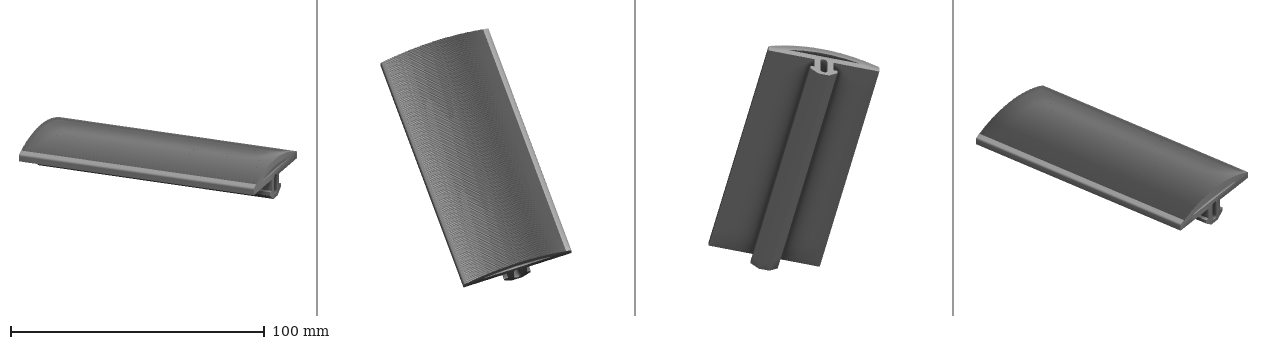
import cadquery as cq
import math

length = 100.0
width = 45.0
height = 16.3

plate_underside = 8.7
dome_edge_height = 11.5
edge_fillet = 1.0

hollow_floor = 11.4
hollow_crown = 13.5
hollow_width = 29.4
hollow_tip_fillet = 0.1

stem_width = 7.7
barb_width = 11.0
barb_top = 4.0
barb_taper_top = 2.5
foot_width = 4.2

slot_width = 2.8
slot_bottom = 1.5
slot_top = 9.6
slot_fillet = 1.2

groove_pitch = 0.3
groove_depth = 0.3
groove_count = 140
groove_shift = groove_pitch
cutter_overlap = 0.1

dome_rise = height - dome_edge_height
dome_radius = ((width / 2) ** 2 + dome_rise**2) / (2 * dome_rise)
dome_center_height = height - dome_radius


def section():
    """Sketch plane on the X = 0 end, with local axes along Y and Z."""
    return cq.Workplane("YZ")


def make_cap():
    """Flat-bottomed cap with an arched top and rounded upper edges."""
    half = width / 2
    cap = (
        section()
        .moveTo(-half, plate_underside)
        .lineTo(half, plate_underside)
        .lineTo(half, dome_edge_height)
        .threePointArc((0, height), (-half, dome_edge_height))
        .close()
        .extrude(length)
    )
    return cap.faces(">Z").edges("|X").fillet(edge_fillet)


def make_stem():
    """Stem with a barb on each side and a tapered foot."""
    right_side = [
        (foot_width / 2, 0),
        (barb_width / 2, barb_taper_top),
        (barb_width / 2, barb_top),
        (stem_width / 2, barb_top),
        (stem_width / 2, plate_underside),
    ]
    left_side = [(-y, z) for y, z in reversed(right_side)]
    return section().polyline(right_side + left_side).close().extrude(length)


def make_hollow():
    """Lens-shaped passage with a flat floor and slightly blunted tips."""
    half = hollow_width / 2
    hollow = (
        section()
        .moveTo(-half, hollow_floor)
        .lineTo(half, hollow_floor)
        .threePointArc((0, hollow_crown), (-half, hollow_floor))
        .close()
        .extrude(length)
    )
    return hollow.edges("|X").fillet(hollow_tip_fillet)


def make_slot():
    """Tall passage through the stem with rounded corners."""
    slot = (
        section()
        .center(0, (slot_bottom + slot_top) / 2)
        .rect(slot_width, slot_top - slot_bottom)
        .extrude(length)
    )
    return slot.edges("|X").fillet(slot_fillet)


def dome_point(arc_position, depth):
    """Point at a distance along the dome from its crown and a depth below its surface."""
    angle = arc_position / dome_radius
    radius = dome_radius - depth
    return radius * math.sin(angle), dome_center_height + radius * math.cos(angle)


def make_groove_cutter():
    """Sawtooth strip that follows the dome and leaves a sharp ridge between grooves."""
    band_start = groove_shift - groove_count * groove_pitch / 2
    band_end = band_start + groove_count * groove_pitch
    points = [dome_point(band_start, 0)]
    for index in range(groove_count):
        groove_start = band_start + index * groove_pitch
        points.append(dome_point(groove_start + groove_pitch / 2, groove_depth))
        points.append(dome_point(groove_start + groove_pitch, 0))
    return (
        section()
        .polyline(points)
        .lineTo(*dome_point(band_end, -cutter_overlap))
        .threePointArc(dome_point(0, -cutter_overlap), dome_point(band_start, -cutter_overlap))
        .close()
        .extrude(length)
    )


result = make_cap().union(make_stem())
result = result.cut(make_hollow()).cut(make_slot()).cut(make_groove_cutter())